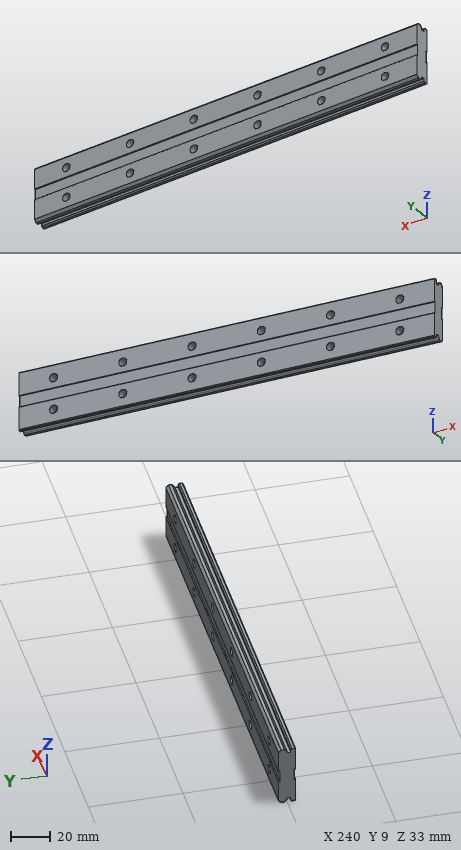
import cadquery as cq

length = 240.0
thickness = 9.0
height = 33.0

recess_depth = 0.7
recess_height = 6.5

groove_depth = 2.2
groove_front = -2.0
groove_floor_back = -0.2
groove_back = 0.7
front_lip_outer_chamfer = 0.5
lip_inner_chamfer = 0.7
back_lip_chamfer = 1.5

holes_per_row = 6
hole_pitch = length / holes_per_row
hole_row_spacing = 18.0
hole_diameter = 4.5

half_thickness = thickness / 2
half_height = height / 2
half_recess = recess_height / 2


def make_half_bar():
    """Upper half of the bar: its cross-section, traced front to back, extruded along X."""
    front = -half_thickness
    back = half_thickness
    floor = half_height - groove_depth
    chamfer_bottom = half_height - lip_inner_chamfer
    section = (
        cq.Workplane("YZ")
        .moveTo(front + recess_depth, 0)
        .lineTo(front + recess_depth, half_recess)
        .lineTo(front, half_recess)
        .lineTo(front, half_height - front_lip_outer_chamfer)
        .lineTo(front + front_lip_outer_chamfer, half_height)
        .lineTo(groove_front - lip_inner_chamfer, half_height)
        .lineTo(groove_front, chamfer_bottom)
        .lineTo(groove_front, floor)
        .lineTo(groove_floor_back, floor)
        .lineTo(groove_back, chamfer_bottom)
        .lineTo(groove_back + lip_inner_chamfer, half_height)
        .lineTo(back - back_lip_chamfer, half_height)
        .lineTo(back, half_height - back_lip_chamfer)
        .lineTo(back, half_recess)
        .lineTo(back - recess_depth, half_recess)
        .lineTo(back - recess_depth, 0)
        .close()
    )
    return section.extrude(length / 2, both=True)


def make_holes():
    """Cylinders through the thickness, evenly spaced in two rows."""
    return (
        cq.Workplane("XZ")
        .rarray(hole_pitch, hole_row_spacing, holes_per_row, 2)
        .circle(hole_diameter / 2)
        .extrude(half_thickness, both=True)
    )


upper_half = make_half_bar()
bar = upper_half.union(upper_half.mirror("XY")).clean()
result = bar.cut(make_holes())